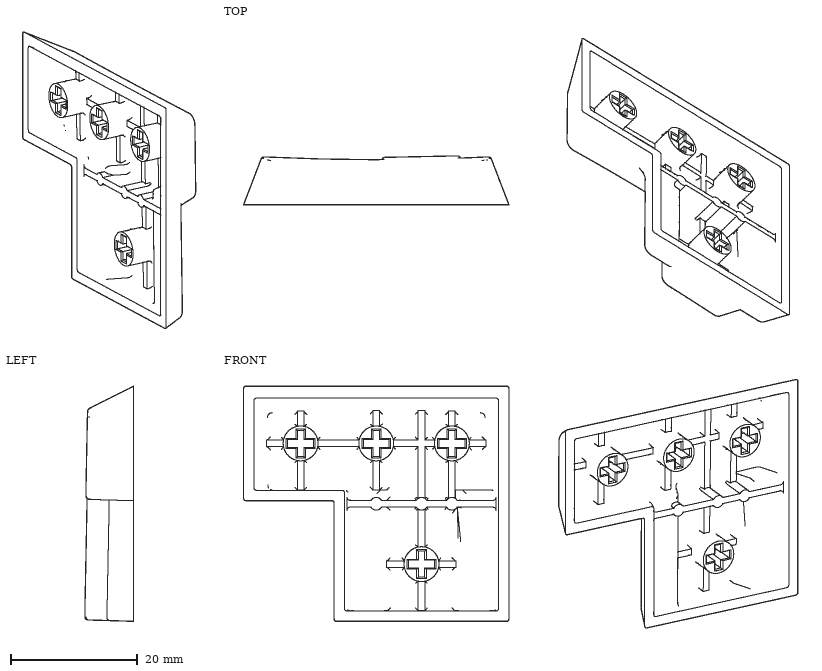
import cadquery as cq
import math

UNIT = 19.05
GAP = 0.95
BAR_WIDTH = 2.25 * UNIT - GAP
HEIGHT = 2 * UNIT - GAP
LEFT = -BAR_WIDTH / 2
RIGHT = BAR_WIDTH / 2
BOTTOM = -HEIGHT / 2
TOP = HEIGHT / 2
LEG_LEFT = LEFT + 0.75 * UNIT
LEG_CENTRE = (LEG_LEFT + RIGHT) / 2
NOTCH = BOTTOM + UNIT

SIDE_DRAFT = 0.383
TOP_DRAFT = 0.5
LOWER_DRAFT = 0.03
RIM_RADIUS = 0.4
CROWN_RADIUS = 1.8
CROWN_EDGE = 0.5
TUCK = 3.0

DISH_RADIUS = 350.0
DISH_DEPTH = 7.6
TILT = 0.02
BLANK_DEPTH = 8.0

LEDGE_DEPTH = 4.25
BLOCK_HALF_WIDTH = 7.45
LEDGE_START = 4.0

WALL = 1.65
TOP_WALL = 1.9
HOLLOW_SIDE_DRAFT = 0.41
HOLLOW_LOWER_DRAFT = 0.01
HOLLOW_TOP_DRAFT = 0.45
HOLLOW_RADIUS = 0.4
HOLLOW_END_RADIUS = 1.0
CEILING_DEPTH = 5.75
LEDGE_CEILING = 2.4
HOLLOW_BLOCK_HALF_WIDTH = 6.5
CEILING_FILLET = 0.5

STEM_SPACING = 11.938
STEM_MARGIN = 9.05
STEM_DIAMETER = 5.5
STEM_FACE = 0.9
RIB_WIDTH = 1.05
RIB_HEIGHT = 0.75
BEAM_FACE = 1.0
PAD_RADIUS = 1.0
UPPER_STEM_Z = TOP - STEM_MARGIN
LOWER_STEM_Z = BOTTOM + STEM_MARGIN
BEAM_Z = 0.0

CROSS_ARMS = ((4.1, 1.27), (1.02, 4.1))
CROSS_MOUTHS = ((4.54, 1.53), (1.53, 4.54))
CROSS_LEAD_IN = 0.2
CROSS_DEPTH = 4.0

STEMS = [(x, UPPER_STEM_Z) for x in (-STEM_SPACING, 0.0, STEM_SPACING)] + [(LEG_CENTRE, LOWER_STEM_Z)]


def rounded_wire(corners, y):
    """Closed wire at depth y through (x, z, radius) corners, each rounded by a tangent arc."""
    count = len(corners)
    stretches = []
    for i, (x, z, radius) in enumerate(corners):
        corner = cq.Vector(x, y, z)
        before = (cq.Vector(corners[i - 1][0], y, corners[i - 1][1]) - corner).normalized()
        after_x, after_z, _ = corners[(i + 1) % count]
        after = (cq.Vector(after_x, y, after_z) - corner).normalized()
        middle = corner + (before + after) * (radius * (1 - math.sqrt(0.5)))
        stretches.append((corner + before * radius, middle, corner + after * radius, radius))
    edges = []
    for i, (start, middle, end, radius) in enumerate(stretches):
        if radius > 0:
            edges.append(cq.Edge.makeThreePointArc(start, middle, end))
        edges.append(cq.Edge.makeLine(end, stretches[(i + 1) % count][0]))
    return cq.Wire.assembleEdges(edges)


def loft(first, y_first, last, y_last):
    wires = [rounded_wire(first, y_first), rounded_wire(last, y_last)]
    return cq.Workplane(obj=cq.Solid.makeLoft(wires, True))


def rectangle(x0, x1, z0, z1, radius):
    return [(x0, z0, radius), (x1, z0, radius), (x1, z1, radius), (x0, z1, radius)]


def box(x0, x1, y0, y1, z0, z1):
    return cq.Workplane(obj=cq.Solid.makeBox(x1 - x0, y1 - y0, z1 - z0, cq.Vector(x0, y0, z0)))


def rod(x, z, radius, y0, y1):
    return cq.Workplane(obj=cq.Solid.makeCylinder(radius, y1 - y0, cq.Vector(x, y0, z), cq.Vector(0, 1, 0)))


def dish(depth):
    """Cylinder whose near side is the dished surface at the given depth."""
    axis = cq.Vector(0, -TILT, 1)
    length = 2 * HEIGHT
    start = cq.Vector(0, depth + DISH_RADIUS, BOTTOM) - axis * (length / 4)
    return cq.Workplane(obj=cq.Solid.makeCylinder(DISH_RADIUS, length, start, axis))


def below_ledge(depth):
    """Half-space block in front of the tilted plane at the given depth."""
    reach = HEIGHT
    z0 = BOTTOM - reach
    z1 = TOP + reach
    profile = [(-reach, z0), (depth + TILT * reach, z0), (depth - TILT * (z1 - BOTTOM), z1), (-reach, z1)]
    return cq.Workplane("YZ").polyline(profile).close().extrude(reach, both=True)


def outer_bar():
    side = SIDE_DRAFT * BLANK_DEPTH
    rim = rectangle(LEFT, RIGHT, NOTCH, TOP, RIM_RADIUS)
    crown = rectangle(
        LEFT + side,
        RIGHT - side,
        NOTCH + LOWER_DRAFT * BLANK_DEPTH,
        TOP - TOP_DRAFT * BLANK_DEPTH,
        CROWN_RADIUS,
    )
    return loft(rim, 0, crown, BLANK_DEPTH)


def leg_section(y, radius):
    """Leg outline, with a foot inside the bar that carries the rounded notch corner."""
    left = LEG_LEFT + SIDE_DRAFT * y
    right = RIGHT - SIDE_DRAFT * y
    bottom = BOTTOM + LOWER_DRAFT * y
    notch = NOTCH + LOWER_DRAFT * y
    return [
        (left, bottom, radius),
        (right, bottom, radius),
        (right, notch + TUCK, 0),
        (left - TUCK, notch + TUCK, 0),
        (left - TUCK, notch, 0),
        (left, notch, radius),
    ]


def outer_leg():
    depth = LEDGE_DEPTH + TILT * TUCK
    blank = loft(leg_section(0, RIM_RADIUS), 0, leg_section(depth, CROWN_RADIUS), depth)
    return blank.intersect(below_ledge(LEDGE_DEPTH)).faces(">Y").edges().fillet(CROWN_EDGE)


def block_section(y, radius):
    """Raised block outline, with feet inside the bar that carry the two rounded inner corners."""
    half = BLOCK_HALF_WIDTH - SIDE_DRAFT * (y - LEDGE_START)
    left = LEG_CENTRE - half
    right = LEG_CENTRE + half
    bottom = BOTTOM + LOWER_DRAFT * y
    notch = NOTCH + LOWER_DRAFT * y
    return [
        (left, bottom, radius),
        (right, bottom, radius),
        (right, notch, radius),
        (right + TUCK, notch, 0),
        (right + TUCK, notch + TUCK, 0),
        (left - TUCK, notch + TUCK, 0),
        (left - TUCK, notch, 0),
        (left, notch, radius),
    ]


def outer_block():
    return loft(block_section(LEDGE_START - 1, RIM_RADIUS), LEDGE_START - 1,
                block_section(BLANK_DEPTH, CROWN_RADIUS), BLANK_DEPTH)


def outer_body():
    body = outer_bar().union(outer_leg()).union(outer_block())
    body = body.cut(dish(DISH_DEPTH))
    return body.faces("%CYLINDER").edges().fillet(CROWN_EDGE)


def bar_hollow_section(y, radius):
    """Bar outline inside; its lower right corner, above the leg, stays square."""
    left = LEFT + WALL + HOLLOW_SIDE_DRAFT * y
    right = RIGHT - WALL - HOLLOW_SIDE_DRAFT * y
    bottom = NOTCH + WALL + HOLLOW_LOWER_DRAFT * y
    top = TOP - TOP_WALL - HOLLOW_TOP_DRAFT * y
    return [(left, bottom, radius), (right, bottom, 0), (right, top, radius), (left, top, radius)]


def bar_hollow():
    return loft(bar_hollow_section(0, HOLLOW_RADIUS), 0,
                bar_hollow_section(BLANK_DEPTH, HOLLOW_END_RADIUS), BLANK_DEPTH)


def leg_hollow_section(y, radius):
    left = LEG_LEFT + WALL + HOLLOW_SIDE_DRAFT * y
    right = RIGHT - WALL - HOLLOW_SIDE_DRAFT * y
    bottom = BOTTOM + WALL + HOLLOW_LOWER_DRAFT * y
    notch = NOTCH + WALL + HOLLOW_LOWER_DRAFT * y
    return [
        (left, bottom, radius),
        (right, bottom, radius),
        (right, notch + TUCK, 0),
        (left - TUCK, notch + TUCK, 0),
        (left - TUCK, notch, 0),
        (left, notch, radius),
    ]


def leg_hollow():
    depth = LEDGE_CEILING + TILT * TUCK
    rim = leg_hollow_section(0, HOLLOW_RADIUS)
    end = leg_hollow_section(depth, HOLLOW_END_RADIUS)
    return loft(rim, 0, end, depth).intersect(below_ledge(LEDGE_CEILING))


def block_hollow_section(y):
    half = HOLLOW_BLOCK_HALF_WIDTH - HOLLOW_SIDE_DRAFT * (y - LEDGE_CEILING)
    bottom = BOTTOM + WALL + HOLLOW_LOWER_DRAFT * y
    return rectangle(LEG_CENTRE - half, LEG_CENTRE + half, bottom, NOTCH + WALL + TUCK, 0)


def block_hollow():
    start = LEDGE_CEILING / 2
    return loft(block_hollow_section(start), start, block_hollow_section(BLANK_DEPTH), BLANK_DEPTH)


def rib_along_z(x, z0, z1):
    half = RIB_WIDTH / 2
    blank = box(x - half, x + half, 0, BLANK_DEPTH, z0, z1)
    return blank.intersect(dish(CEILING_DEPTH - RIB_HEIGHT))


def rib_along_x(z, x0, x1):
    half = RIB_WIDTH / 2
    blank = box(x0, x1, 0, BLANK_DEPTH, z - half, z + half)
    return blank.intersect(dish(CEILING_DEPTH - RIB_HEIGHT))


def ledge_faces(space):
    """Faces of the hollow over the two ledges, on both sides of the beam."""
    return [
        face
        for face in space.faces("%PLANE").vals()
        if abs(face.normalAt().y) > 0.9 and abs(face.Center().y - LEDGE_CEILING) < RIB_HEIGHT
    ]


def ceiling_faces(space):
    """Patches of the dished ceiling between the ribs, without the rib tops."""
    patches = []
    for face in space.faces("%CYLINDER").vals():
        centre = face.Center()
        ceiling_y = CEILING_DEPTH + centre.x**2 / (2 * DISH_RADIUS) - TILT * (centre.z - BOTTOM)
        if abs(face.normalAt().y) > 0.9 and abs(centre.y - ceiling_y) < RIB_HEIGHT / 2:
            patches.append(face)
    return patches


def hollow():
    space = bar_hollow().union(leg_hollow()).union(block_hollow()).cut(dish(CEILING_DEPTH))
    return space.newObject(ledge_faces(space)).edges().fillet(CEILING_FILLET)


def beam():
    half = RIB_WIDTH / 2
    bar = box(LEG_LEFT, RIGHT, BEAM_FACE, BLANK_DEPTH, BEAM_Z - half, BEAM_Z + half)
    for x in (0.0, LEG_CENTRE, STEM_SPACING):
        bar = bar.union(rod(x, BEAM_Z, PAD_RADIUS, BEAM_FACE, BLANK_DEPTH))
    return bar


def ribs():
    body = rib_along_x(UPPER_STEM_Z, LEFT, RIGHT)
    body = body.union(rib_along_x(LOWER_STEM_Z, LEG_CENTRE - BLOCK_HALF_WIDTH, LEG_CENTRE + BLOCK_HALF_WIDTH))
    body = body.union(rib_along_z(-STEM_SPACING, NOTCH, TOP))
    body = body.union(rib_along_z(0.0, NOTCH + WALL, TOP))
    body = body.union(rib_along_z(STEM_SPACING, BEAM_Z, TOP))
    body = body.union(rib_along_z(LEG_CENTRE, BOTTOM, TOP))
    return body


def framed_hollow():
    """Hollow with the ribs, beam and stems left standing in it."""
    space = hollow().cut(ribs()).cut(beam())
    for x, z in STEMS:
        space = space.cut(rod(x, z, STEM_DIAMETER / 2, STEM_FACE, BLANK_DEPTH))
    return space


def soften_ceiling(space):
    """Round the roots of the walls, ribs and stems around every ceiling patch."""
    edges = []
    for face in ceiling_faces(space):
        for edge in face.Edges():
            above_right_ledge = edge.Center().x > STEM_SPACING and abs(edge.Center().z - NOTCH - WALL) < WALL / 4
            if not above_right_ledge:
                edges.append(edge)
    return space.newObject(edges).fillet(CEILING_FILLET)


def soften_beam(space):
    """Round the straight roots of the beam on the ledges."""
    edges = [
        edge
        for face in ledge_faces(space)
        for edge in face.Edges()
        if edge.geomType() == "LINE" and abs(abs(edge.Center().z - BEAM_Z) - RIB_WIDTH / 2) < 0.01
    ]
    return space.newObject(edges).fillet(CEILING_FILLET)


def centred_rectangle(x, z, size):
    x_size, z_size = size
    return rectangle(x - x_size / 2, x + x_size / 2, z - z_size / 2, z + z_size / 2, 0)


def cross_socket(x, z):
    """Cross-shaped blind socket with a tapered mouth."""
    lead_end = STEM_FACE + CROSS_LEAD_IN
    socket = cq.Workplane()
    for arm, mouth in zip(CROSS_ARMS, CROSS_MOUTHS):
        slot = centred_rectangle(x, z, arm)
        socket = socket.union(loft(slot, STEM_FACE, slot, STEM_FACE + CROSS_DEPTH))
        socket = socket.union(loft(centred_rectangle(x, z, mouth), STEM_FACE, slot, lead_end))
    return socket


result = outer_body().cut(soften_beam(soften_ceiling(framed_hollow())))
for stem_x, stem_z in STEMS:
    result = result.cut(cross_socket(stem_x, stem_z))